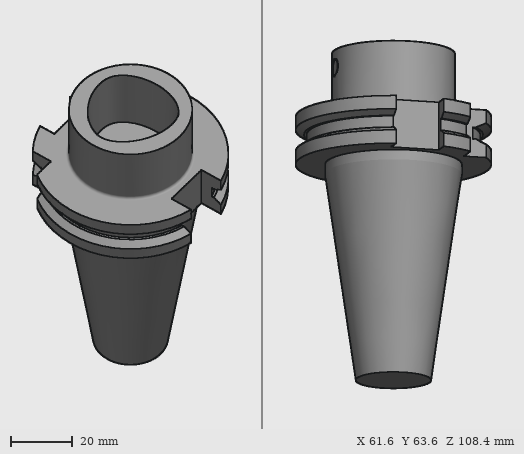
import cadquery as cq
import math

total_height = 108.4
taper_height = 68.4
collar_height = 3.3
flange_height = 15.8
flange_bottom = taper_height + collar_height
flange_top = flange_bottom + flange_height
flange_middle = flange_bottom + flange_height / 2

taper_large_radius = 22.2
taper_slope = 7 / 48
taper_small_radius = taper_large_radius - taper_height * taper_slope
flange_radius = 31.8
nose_radius = 20.0
nose_fillet = 1.0

groove_mouth_width = 7.0
groove_floor_width = 3.9
groove_bevel_radius = 29.0
groove_floor_radius = 28.2

slot_width = 16.0
slot_left_face = -24.9
slot_right_face = 22.8
notch_corner = -18.4

socket_mouth_radius = 14.7
socket_floor_radius = 14.2
socket_lobe = 0.92
socket_depth = 21.7
points_per_lobe = 12

dimple_diameter = 5.9
dimple_depth = 0.4
dimple_below_top = 5.7


def turned_body():
    """Taper, collar, grooved flange and nose revolved about Z."""
    mouth_half = groove_mouth_width / 2
    floor_half = groove_floor_width / 2
    profile = [
        (0, 0),
        (taper_small_radius, 0),
        (taper_large_radius, taper_height),
        (taper_large_radius, flange_bottom),
        (flange_radius, flange_bottom),
        (flange_radius, flange_middle - mouth_half),
        (groove_bevel_radius, flange_middle - floor_half),
        (groove_floor_radius, flange_middle - floor_half),
        (groove_floor_radius, flange_middle + floor_half),
        (groove_bevel_radius, flange_middle + floor_half),
        (flange_radius, flange_middle + mouth_half),
        (flange_radius, flange_top),
    ]
    return (
        cq.Workplane("XZ")
        .polyline(profile)
        .lineTo(nose_radius + nose_fillet, flange_top)
        .radiusArc((nose_radius, flange_top + nose_fillet), nose_fillet)
        .lineTo(nose_radius, total_height)
        .lineTo(0, total_height)
        .close()
        .revolve(360, (0, 0), (0, 1))
    )


def flange_cut(x_start, x_end, y_start, y_end):
    """Box spanning the flange height, used to remove material from its rim."""
    return (
        cq.Workplane("XY", origin=(x_start, y_start, flange_bottom))
        .box(x_end - x_start, y_end - y_start, flange_height, centered=False)
    )


def lobed_outline(mean_radius):
    """Points of a constant-width three-lobed curve with one lobe toward -Y."""
    count = 3 * points_per_lobe
    points = []
    for index in range(count):
        angle = 2 * math.pi * index / count
        along = mean_radius * math.cos(angle) + socket_lobe * (2 * math.cos(2 * angle) - math.cos(4 * angle))
        across = mean_radius * math.sin(angle) - socket_lobe * (2 * math.sin(2 * angle) + math.sin(4 * angle))
        points.append((across, -along))
    return points


def socket():
    """Lobed socket that narrows toward its flat floor."""
    return (
        cq.Workplane("XY", origin=(0, 0, total_height - socket_depth))
        .spline(lobed_outline(socket_floor_radius), periodic=True)
        .close()
        .workplane(offset=socket_depth)
        .spline(lobed_outline(socket_mouth_radius), periodic=True)
        .close()
        .loft(ruled=True)
    )


def dimple():
    """Flat-bottomed radial dimple in the nose wall."""
    return (
        cq.Workplane("XZ", origin=(0, nose_radius, total_height - dimple_below_top))
        .circle(dimple_diameter / 2)
        .extrude(dimple_depth)
    )


slot_half = slot_width / 2
result = (
    turned_body()
    .cut(flange_cut(-flange_radius, slot_left_face, -slot_half, slot_half))
    .cut(flange_cut(slot_right_face, flange_radius, -slot_half, slot_half))
    .cut(flange_cut(-flange_radius, notch_corner, -flange_radius, notch_corner))
    .cut(socket())
    .cut(dimple())
)